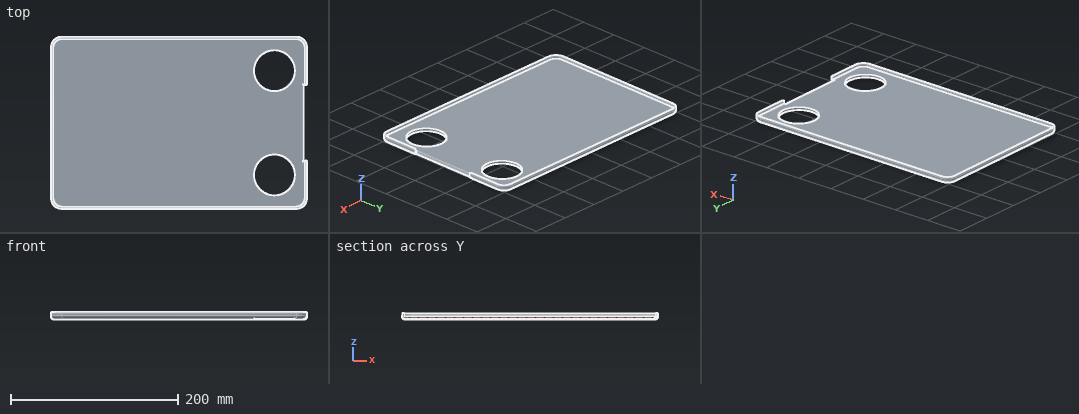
import cadquery as cq

LENGTH = 306.0
WIDTH = 206.0
HEIGHT = 8.0
CORNER_RADIUS = 13.0
TILT_ANGLE = 0.5

FLOOR_THICKNESS = 4.0
BOTTOM_FILLET = 4.0
WALL_THICKNESS = 3.0

RIM_TOP_FLAT = 0.002
RIM_TOP_RADIUS = (WALL_THICKNESS - RIM_TOP_FLAT) / 2

HOLE_DIAMETER = 48.6
HOLE_X = 114.0
HOLE_Y = 62.25

GAP_LENGTH = 90.0
GAP_DEPTH = BOTTOM_FILLET
GAP_EDGE_FILLET = 1.49

SELECTION_MARGIN = 0.01


def rounded_block(length, width, height, radius):
    """Plate standing on Z = 0 with rounded vertical corners."""
    return cq.Workplane("XY").rect(length, width).extrude(height).edges("|Z").fillet(radius)


def tray_shell():
    """Shallow tray with a rounded underside and a nearly half-round rim top."""
    outer = rounded_block(LENGTH, WIDTH, HEIGHT, CORNER_RADIUS)
    outer = outer.faces("<Z").edges().fillet(BOTTOM_FILLET)
    recess = rounded_block(
        LENGTH - 2 * WALL_THICKNESS,
        WIDTH - 2 * WALL_THICKNESS,
        HEIGHT,
        CORNER_RADIUS - WALL_THICKNESS,
    )
    tray = outer.cut(recess.translate((0, 0, FLOOR_THICKNESS)))
    return tray.faces(">Z").edges().fillet(RIM_TOP_RADIUS)


def floor_holes():
    """Two round through holes, mirrored across the XZ plane."""
    centers = [(HOLE_X, side * HOLE_Y) for side in (-1, 1)]
    return cq.Workplane("XY").pushPoints(centers).circle(HOLE_DIAMETER / 2).extrude(HEIGHT)


def rim_gap():
    """Full-height block that opens the middle of the +X rim."""
    gap_center_x = LENGTH / 2 - GAP_DEPTH / 2
    return cq.Workplane("XY").center(gap_center_x, 0).rect(GAP_DEPTH, GAP_LENGTH).extrude(HEIGHT)


def round_gap_edges(tray):
    """Round the floor edge in the gap and the outlines of the two rim ends, above floor level."""
    half_gap = GAP_LENGTH / 2 + SELECTION_MARGIN
    low_corner = (LENGTH / 2 - GAP_DEPTH - SELECTION_MARGIN, -half_gap, FLOOR_THICKNESS - SELECTION_MARGIN)
    high_corner = (LENGTH / 2 + SELECTION_MARGIN, half_gap, HEIGHT + SELECTION_MARGIN)
    gap_edges = tray.edges(cq.selectors.BoxSelector(low_corner, high_corner))
    rounded = gap_edges.fillet(GAP_EDGE_FILLET)
    return cq.Workplane(rounded.solids().val().fix())


tray = round_gap_edges(tray_shell().cut(rim_gap()))
tray = tray.cut(floor_holes())
result = tray.rotate((0, 0, 0), (1, 0, 0), -TILT_ANGLE).solids()